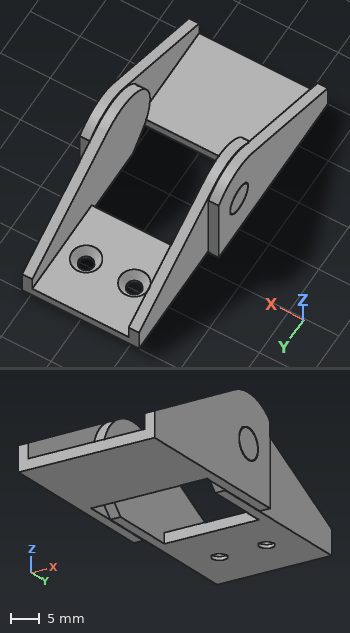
import cadquery as cq
import math

length = 60.0
outer_width = 28.0
knuckle_radius = 9.69
thickness = 2.1
side_gap = 0.1
tip_height = 5.1
floor_start = 9.95
pin_diameter = 5.9
pin_hole_diameter = 6.1
screw_hole_diameter = 2.9
countersink_diameter = 5.65
countersink_angle = 90.0

half_length = length / 2
pivot_height = knuckle_radius
inner_width = outer_width - 2 * (thickness + side_gap)
inner_clear_width = inner_width - 2 * thickness
floor_length = half_length - floor_start
floor_middle = (half_length + floor_start) / 2
screw_spacing = inner_clear_width / 2
pin_length = thickness + side_gap

outer_knuckle_end = math.radians(135)
inner_knuckle_end = math.radians(225)
outer_heel = knuckle_radius * math.cos(outer_knuckle_end)
inner_heel = knuckle_radius * (1 - math.sqrt(2))

tip_rise = tip_height - pivot_height
tip_distance = math.hypot(half_length, tip_rise)
tangent_angle = math.atan2(tip_rise, half_length) + math.acos(knuckle_radius / tip_distance)


def knuckle_point(angle):
    """Point (y, z) on the knuckle circle, for an angle measured from +Y."""
    return (
        knuckle_radius * math.cos(angle),
        pivot_height + knuckle_radius * math.sin(angle),
    )


def arm(knuckle_end, heel, left_x):
    """Side plate reaching toward +Y; the heel is the Y of its bottom corner at the knuckle."""
    middle_angle = (tangent_angle + knuckle_end) / 2
    return (
        cq.Workplane("YZ", origin=(left_x, 0, 0))
        .moveTo(heel, 0)
        .lineTo(half_length, 0)
        .lineTo(half_length, tip_height)
        .lineTo(*knuckle_point(tangent_angle))
        .threePointArc(knuckle_point(middle_angle), knuckle_point(knuckle_end))
        .close()
        .extrude(thickness)
    )


def leaf_blank(width, knuckle_end, heel):
    """Floor plate joining two arms, reaching toward +Y."""
    floor = cq.Workplane("XY").box(width, floor_length, thickness, centered=(True, True, False))
    blank = floor.translate((0, floor_middle, 0))
    for left_x in (-width / 2, width / 2 - thickness):
        blank = blank.union(arm(knuckle_end, heel, left_x))
    return blank


def pivot_cylinder(diameter, start_x, cylinder_length):
    """Cylinder on the pivot axis, extending toward +X from start_x."""
    return (
        cq.Workplane("YZ", origin=(start_x, 0, pivot_height))
        .circle(diameter / 2)
        .extrude(cylinder_length)
    )


def make_outer_leaf():
    """Leaf toward -Y; its arms are cut off square behind the knuckle and bored for the pins."""
    leaf = leaf_blank(outer_width, outer_knuckle_end, outer_heel)
    leaf = leaf.rotate((0, 0, 0), (0, 0, 1), 180)
    return leaf.cut(pivot_cylinder(pin_hole_diameter, -outer_width / 2, outer_width))


def make_inner_leaf():
    """Leaf toward +Y; its knuckles are rounded, with a pin on each and countersunk screw holes."""
    leaf = leaf_blank(inner_width, inner_knuckle_end, inner_heel)
    for start_x in (-outer_width / 2, inner_width / 2):
        leaf = leaf.union(pivot_cylinder(pin_diameter, start_x, pin_length))
    return (
        leaf.copyWorkplane(cq.Workplane("XY", origin=(0, floor_middle, thickness)))
        .pushPoints([(-screw_spacing / 2, 0), (screw_spacing / 2, 0)])
        .cskHole(screw_hole_diameter, countersink_diameter, countersink_angle, depth=thickness)
    )


outer_leaf = make_outer_leaf()
inner_leaf = make_inner_leaf()

result = cq.Compound.makeCompound([outer_leaf.val(), inner_leaf.val()])